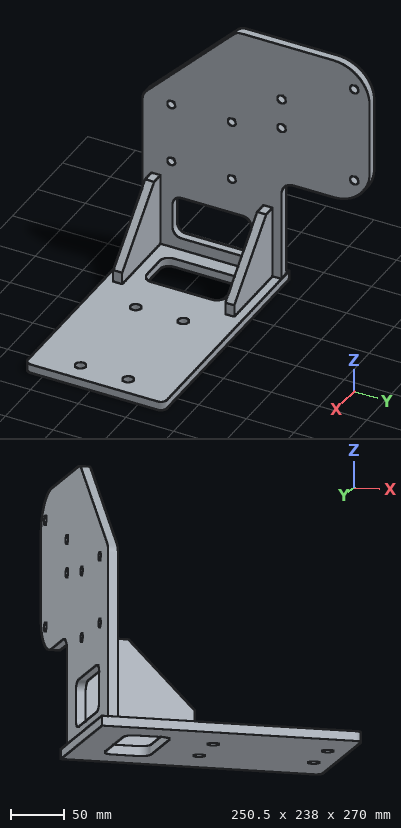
import cadquery as cq

base_length = 250.5
base_width = 145.7
overall_width = 238.0
overall_height = 270.0
plate_thickness = 9.5
base_center_y = base_width / 2

base_corner_radius = 6.5
bolt_hole_diameter = 10.5
bolt_first_x = 120.0
bolt_spacing_x = 110.0
bolt_spacing_y = 50.0

window_width = 82.5
window_corner_radius = 9.5
base_window_length = 44.3
base_window_gap = 16.2
wall_window_height = 44.8
wall_window_gap = 12.7

wall_offset = 6.0
wall_back_x = wall_offset + plate_thickness
arm_bottom_z = 117.0
arm_center_z = (arm_bottom_z + overall_height) / 2
arm_corner_radius = 38.0
wall_chamfer = 98.8
wall_corner_radius = 12.7

arm_hole_diameter = 8.6
arm_tip_inset = 16.2
arm_tip_spacing = 101.5
arm_root_spacing = 31.8
square_hole_diameter = 8.0
square_hole_spacing = 63.5
square_center_y = 61.8
square_center_z = 136.3

gusset_leg = 76.5
gusset_nose = 12.7
gusset_inset = 9.5


def make_base():
    """Horizontal plate with a window and four bolt holes."""
    plate = (
        cq.Workplane("XY")
        .box(base_length, base_width, plate_thickness, centered=False)
        .edges("|Z and >X")
        .fillet(base_corner_radius)
    )
    window = (
        cq.Workplane("XY")
        .center(wall_back_x + base_window_gap + base_window_length / 2, base_center_y)
        .rect(base_window_length, window_width)
        .extrude(plate_thickness)
        .edges("|Z")
        .fillet(window_corner_radius)
    )
    bolt_holes = (
        cq.Workplane("XY")
        .center(bolt_first_x + bolt_spacing_x / 2, base_center_y)
        .rarray(bolt_spacing_x, bolt_spacing_y, 2, 2)
        .circle(bolt_hole_diameter / 2)
        .extrude(plate_thickness)
    )
    return plate.cut(window).cut(bolt_holes)


def wall_plane():
    """YZ plane at the front face of the wall; local axes are Y and Z."""
    return cq.Workplane("YZ", origin=(wall_offset, 0, 0))


def round_wall_corner(wall, y, z, radius):
    """Round the wall's X-parallel edge that passes through (y, z)."""
    middle_x = wall_offset + plate_thickness / 2
    corner = cq.selectors.NearestToPointSelector((middle_x, y, z))
    return wall.edges("|X").edges(corner).fillet(radius)


def make_wall():
    """Upright plate with a sideways arm, a sloped edge, holes and a window."""
    outline = [
        (0, plate_thickness),
        (base_width, plate_thickness),
        (base_width, arm_bottom_z),
        (overall_width, arm_bottom_z),
        (overall_width, overall_height),
        (wall_chamfer, overall_height),
        (0, overall_height - wall_chamfer),
    ]
    wall = wall_plane().polyline(outline).close().extrude(plate_thickness)

    inner_corner, arm_bottom, arm_top, slope_top, slope_bottom = outline[2:]
    for corner in (arm_bottom, arm_top):
        wall = round_wall_corner(wall, *corner, arm_corner_radius)
    for corner in (inner_corner, slope_top, slope_bottom):
        wall = round_wall_corner(wall, *corner, wall_corner_radius)

    hole_pairs = [
        (overall_width - arm_tip_inset, arm_tip_spacing),
        (base_width, arm_root_spacing),
    ]
    for hole_y, spacing in hole_pairs:
        pair = (
            wall_plane()
            .center(hole_y, arm_center_z)
            .rarray(2.7, spacing, 1, 2)
            .circle(arm_hole_diameter / 2)
            .extrude(plate_thickness)
        )
        wall = wall.cut(pair)

    square_holes = (
        wall_plane()
        .center(square_center_y, square_center_z)
        .rarray(square_hole_spacing, square_hole_spacing, 2, 2)
        .circle(square_hole_diameter / 2)
        .extrude(plate_thickness)
    )
    window = (
        wall_plane()
        .center(base_center_y, plate_thickness + wall_window_gap + wall_window_height / 2)
        .rect(window_width, wall_window_height)
        .extrude(plate_thickness)
        .edges("|X")
        .fillet(window_corner_radius)
    )
    return wall.cut(square_holes).cut(window)


def make_gusset(near_y):
    """Brace in the corner of wall and base, spanning +Y from near_y."""
    outline = [
        (0, 0),
        (gusset_leg, 0),
        (gusset_leg, gusset_nose),
        (gusset_nose, gusset_leg),
        (0, gusset_leg),
    ]
    return (
        cq.Workplane("XZ", origin=(wall_back_x, near_y, plate_thickness))
        .polyline(outline)
        .close()
        .extrude(-plate_thickness)
    )


base = make_base()
wall = make_wall()
gusset_positions = (gusset_inset, base_width - gusset_inset - plate_thickness)
gussets = [make_gusset(near_y) for near_y in gusset_positions]

result = cq.Compound.makeCompound([base.val(), wall.val(), *[gusset.val() for gusset in gussets]])